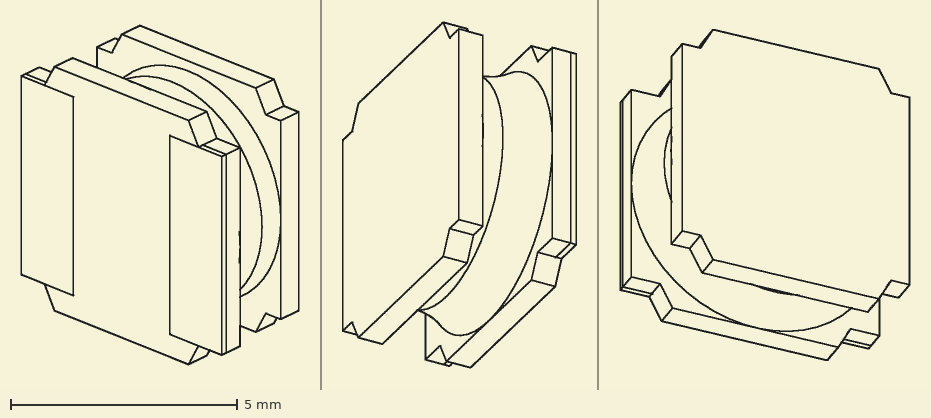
import cadquery as cq
import math

SIZE = 6.0
DEPTH = 2.8
HALF_HEIGHT = SIZE / 2
FRONT_Y = -DEPTH / 2
REAR_Y = DEPTH / 2

FLANGE_THICKNESS = 0.6
REAR_FLANGE_WIDTH = 5.495
EDGE_HALF_WIDTH = 2.005
STEP_HALF_WIDTH = 2.305
STEP_HALF_HEIGHT = 2.44

TERMINAL_WIDTH = 1.56
TERMINAL_THICKNESS = 0.145

WAIST_RADIUS = 2.68
WAIST_FROM_REAR = 1.135
FRONT_COIL_Y = FRONT_Y + FLANGE_THICKNESS
REAR_COIL_Y = REAR_Y - FLANGE_THICKNESS
WAIST_Y = REAR_Y - WAIST_FROM_REAR
FRONT_COIL_LENGTH = WAIST_Y - FRONT_COIL_Y
WAIST_DROP = HALF_HEIGHT - WAIST_RADIUS
HOLLOW_RADIUS = (FRONT_COIL_LENGTH**2 + WAIST_DROP**2) / (2 * WAIST_DROP)


def make_flange(width, front_y):
    """Flange plate: a rectangle whose corners are stepped in and slanted."""
    quarter = [
        (width / 2, STEP_HALF_HEIGHT),
        (STEP_HALF_WIDTH, STEP_HALF_HEIGHT),
        (EDGE_HALF_WIDTH, HALF_HEIGHT),
    ]
    upper = quarter + [(-x, z) for x, z in reversed(quarter)]
    lower = [(-x, -z) for x, z in upper]
    return (
        cq.Workplane("XZ", origin=(0, front_y, 0))
        .polyline(upper + lower)
        .close()
        .extrude(-FLANGE_THICKNESS)
    )


def make_terminal(side):
    """Flat terminal at the left (side = -1) or right (side = 1) edge."""
    center_x = side * (SIZE - TERMINAL_WIDTH) / 2
    center_y = FRONT_Y + TERMINAL_THICKNESS / 2
    return cq.Workplane("XY", origin=(center_x, center_y, 0)).box(
        TERMINAL_WIDTH, TERMINAL_THICKNESS, 2 * STEP_HALF_HEIGHT
    )


def coil_radius(y):
    """Outer radius of the winding at a position along its axis."""
    arc_height = math.sqrt(HOLLOW_RADIUS**2 - (y - WAIST_Y) ** 2)
    return WAIST_RADIUS + HOLLOW_RADIUS - arc_height


def make_coil(end_y):
    """Winding part from the waist to the flange face at end_y."""
    middle_y = (WAIST_Y + end_y) / 2
    return (
        cq.Workplane("XY")
        .moveTo(0, WAIST_Y)
        .lineTo(WAIST_RADIUS, WAIST_Y)
        .threePointArc((coil_radius(middle_y), middle_y), (coil_radius(end_y), end_y))
        .lineTo(0, end_y)
        .close()
        .revolve(360, (0, 0, 0), (0, 1, 0))
    )


terminals = [make_terminal(side) for side in (-1, 1)]

front_flange = make_flange(SIZE, FRONT_Y)
for terminal in terminals:
    front_flange = front_flange.cut(terminal)

rear_flange = make_flange(REAR_FLANGE_WIDTH, REAR_COIL_Y)
coils = [make_coil(end_y) for end_y in (FRONT_COIL_Y, REAR_COIL_Y)]

result = cq.Compound.makeCompound(
    [
        front_flange.val(),
        rear_flange.val(),
        *[terminal.val() for terminal in terminals],
        *[coil.val() for coil in coils],
    ]
)